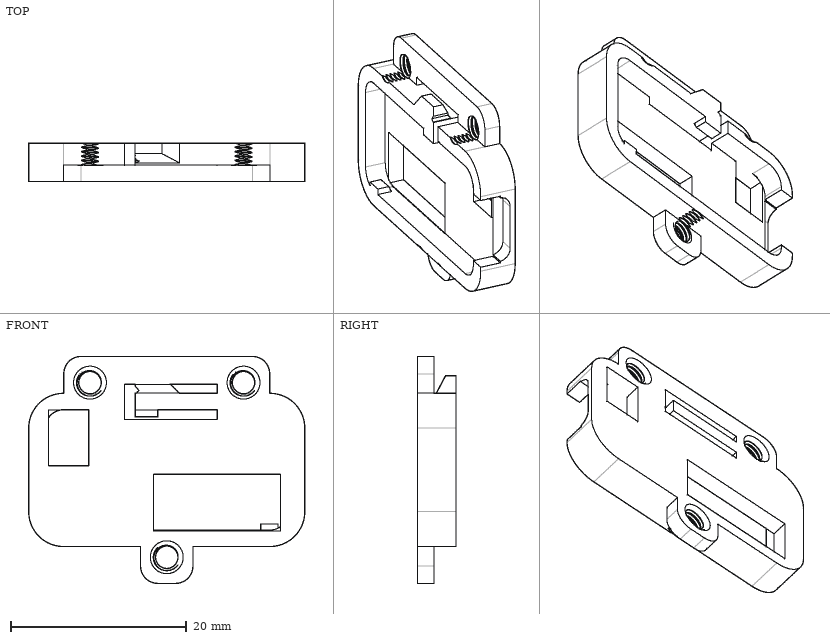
import cadquery as cq
import math

body_width = 31.5
body_height = 17.5
body_depth = 4.4
body_corner_radius = 4.0
plate_thickness = 1.9
wall_thickness = 1.9

half_width = body_width / 2
half_height = body_height / 2
cavity_half_height = half_height - wall_thickness

tab_reach = 4.2
tab_corner_radius = 2.0
top_tab_width = body_width - 2 * body_corner_radius
bottom_tab_width = 6.0

hole_spacing = 17.5
hole_to_body_edge = 1.2
hole_z = half_height + hole_to_body_edge
hole_centers = [(-hole_spacing / 2, hole_z), (hole_spacing / 2, hole_z), (0, -hole_z)]
thread_minor_diameter = 2.53
thread_major_diameter = 3.09
thread_pitch = 0.5
groove_mouth_width = 0.75 * thread_pitch
groove_root_width = thread_pitch / 8
hole_mouth_diameter = 3.75

side_window_left = -13.45
side_window_right = -8.9
side_window_bottom = 0.5
main_window_left = -1.5
main_window_right = 12.95
main_window_top = -0.5
main_window_bottom = -6.95

slot_left = -4.8
slot_right = 5.75
slot_top = 9.75
slot_bottom = 5.75
latch_tip = -3.6

hook_height = 2.0
hook_top_length = 3.05
hook_base_length = hook_top_length + hook_height
hook_top_depth = 1.2
hook_base_depth = 2.25
hook_notch_top = 0.8
hook_notch_middle = 0.3
hook_notch_depth = 0.42
hook_notch_base_depth = 0.1

catch_height = 0.7
catch_tip_depth = 1.4
catch_base_depth = 1.75
latch_catch_height = 0.8
latch_catch_length = 2.6
floor_catch_left = 10.7
floor_catch_length = 2.0

opening_half_height = 4.25
opening_step = 0.2
opening_floor = 0.65
opening_arc_radius = 1.4


def block(x_min, x_max, y_min, y_max, z_min, z_max):
    """Box given by its limits along each axis."""
    size = (x_max - x_min, y_max - y_min, z_max - z_min)
    return cq.Workplane("XY").box(*size, centered=False).translate((x_min, y_min, z_min))


def rounded_slab(width, height, radius, y_start, y_end):
    """Rectangle in XZ with rounded corners, centred on the Y axis."""
    slab = block(-width / 2, width / 2, y_start, y_end, -height / 2, height / 2)
    return slab.edges("|Y").fillet(radius)


def make_tray():
    """Rounded body with its cavity."""
    body = rounded_slab(body_width, body_height, body_corner_radius, 0, body_depth)
    cavity = rounded_slab(
        body_width - 2 * wall_thickness,
        body_height - 2 * wall_thickness,
        body_corner_radius - wall_thickness,
        plate_thickness,
        body_depth,
    )
    return body.cut(cavity)


def make_tab(width, side):
    """Screw tab above (side = 1) or below (side = -1) the body."""
    root = side * cavity_half_height
    end = side * (half_height + tab_reach)
    tab = block(-width / 2, width / 2, 0, plate_thickness, min(root, end), max(root, end))
    outer_face = ">Z" if side > 0 else "<Z"
    return tab.faces(outer_face).edges("|Y").fillet(tab_corner_radius)


def make_bore():
    """Plain hole along +Y from the origin, with a conical mouth at Y = 0."""
    mouth_depth = (hole_mouth_diameter - thread_minor_diameter) / 2
    return (
        cq.Workplane("XZ")
        .circle(thread_minor_diameter / 2)
        .extrude(-body_depth)
        .union(
            cq.Workplane("XZ")
            .circle(hole_mouth_diameter / 2)
            .workplane(offset=-mouth_depth)
            .circle(thread_minor_diameter / 2)
            .loft()
        )
    )


def make_thread_groove():
    """Helical thread groove around the Y axis, running out past both ends of the hole."""
    minor_radius = thread_minor_diameter / 2
    major_radius = thread_major_diameter / 2
    overlap = 0.05
    flank_slope = (groove_mouth_width - groove_root_width) / 2 / (major_radius - minor_radius)
    inner_half = groove_mouth_width / 2 + overlap * flank_slope
    root_half = groove_root_width / 2
    thread_length = body_depth + 2 * thread_pitch

    helix = cq.Wire.makeHelix(thread_pitch, thread_length, minor_radius)
    return (
        cq.Workplane("XZ")
        .moveTo(minor_radius - overlap, -inner_half)
        .lineTo(major_radius, -root_half)
        .lineTo(major_radius, root_half)
        .lineTo(minor_radius - overlap, inner_half)
        .close()
        .sweep(cq.Workplane(helix), isFrenet=True)
        .translate((0, 0, -thread_pitch / 2))
        .rotate((0, 0, 0), (1, 0, 0), -90)
    )


def make_windows():
    """Side window and main window, cut through the plate only."""
    side = block(
        side_window_left, side_window_right, 0, plate_thickness, side_window_bottom, cavity_half_height
    )
    main = block(
        main_window_left, main_window_right, 0, plate_thickness, main_window_bottom, main_window_top
    )
    return side.union(main)


def make_latch_slot():
    """Slot above and below the latch, and the gap through the wall at its tip."""
    above = block(slot_left, slot_right, 0, plate_thickness, half_height, slot_top)
    below = block(slot_left, slot_right, 0, plate_thickness, slot_bottom, cavity_half_height)
    gap = block(slot_left, latch_tip, 0, body_depth, slot_bottom, slot_top)
    return above.union(below).union(gap)


def make_opening():
    """Cable opening through the left wall, slightly narrower and rounded within the plate."""
    narrow_half_height = opening_half_height - opening_step
    arc_center_y = opening_floor + opening_arc_radius
    arc_sweep = math.acos((arc_center_y - plate_thickness) / opening_arc_radius)
    arc_end_z = narrow_half_height - opening_arc_radius * math.sin(arc_sweep)
    mid_y = arc_center_y - opening_arc_radius * math.cos(arc_sweep / 2)
    mid_z = arc_end_z + opening_arc_radius * math.sin(arc_sweep / 2)
    return (
        cq.Workplane("YZ", origin=(-half_width, 0, 0))
        .moveTo(body_depth, -opening_half_height)
        .lineTo(plate_thickness, -opening_half_height)
        .lineTo(plate_thickness, -narrow_half_height)
        .threePointArc((mid_y, -mid_z), (opening_floor, -arc_end_z))
        .lineTo(opening_floor, arc_end_z)
        .threePointArc((mid_y, mid_z), (plate_thickness, narrow_half_height))
        .lineTo(plate_thickness, opening_half_height)
        .lineTo(body_depth, opening_half_height)
        .close()
        .extrude(wall_thickness)
    )


def make_wedge(x_start, length, base_z, height, base_depth, tip_depth):
    """Prism along X at the open side; its front face slopes back from base to tip."""
    return (
        cq.Workplane("YZ", origin=(x_start, 0, 0))
        .moveTo(body_depth, base_z)
        .lineTo(body_depth - base_depth, base_z)
        .lineTo(body_depth - tip_depth, base_z + height)
        .lineTo(body_depth, base_z + height)
        .close()
        .extrude(length)
    )


def make_hook():
    """Hook on the latch: sloped front, sloped right end and a V notch in its left end."""
    wedge = make_wedge(
        latch_tip, hook_base_length, half_height, hook_height, hook_base_depth, hook_top_depth
    )
    side_outline = (
        cq.Workplane("XZ")
        .moveTo(latch_tip + hook_notch_base_depth, half_height)
        .lineTo(latch_tip + hook_notch_depth, half_height + hook_notch_middle)
        .lineTo(latch_tip, half_height + hook_notch_top)
        .lineTo(latch_tip, half_height + hook_height)
        .lineTo(latch_tip + hook_top_length, half_height + hook_height)
        .lineTo(latch_tip + hook_base_length, half_height)
        .close()
        .extrude(-body_depth)
    )
    return wedge.intersect(side_outline)


def make_catches():
    """Catch under the latch and catch on the cavity's lower wall."""
    latch_catch = make_wedge(
        latch_tip,
        latch_catch_length,
        cavity_half_height,
        -latch_catch_height,
        catch_base_depth,
        catch_tip_depth,
    )
    floor_catch = make_wedge(
        floor_catch_left,
        floor_catch_length,
        -cavity_half_height,
        catch_height,
        catch_base_depth,
        catch_tip_depth,
    )
    return latch_catch.union(floor_catch)


result = make_tray()
result = result.union(make_tab(top_tab_width, 1)).union(make_tab(bottom_tab_width, -1))
result = result.cut(make_windows()).cut(make_latch_slot()).cut(make_opening())
result = result.union(make_hook()).union(make_catches())
bore = make_bore()
thread_groove = make_thread_groove()
for hole_x, center_z in hole_centers:
    hole_position = (hole_x, 0, center_z)
    result = result.cut(thread_groove.translate(hole_position)).cut(bore.translate(hole_position))